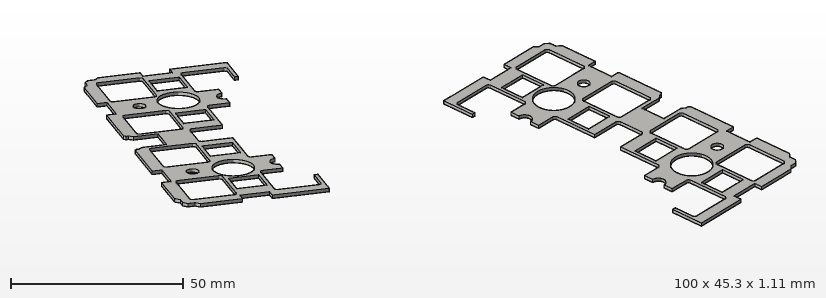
import cadquery as cq

length = 100.0
width = 45.25
thickness = 1.11
left = -length / 2
back = width / 2
front = -width / 2
rim = 1.2
corner_radius = 0.9

window_depth = 14.15
outer_column = (-46.35, -31.3)
inner_column = (-20.5, -5.65)
front_row_front = -18.45
front_row_back = front_row_front + window_depth
back_row_back = back - rim
back_row_front = back_row_back - window_depth

small_window_front = front_row_back + rim
small_window_back = back_row_front - rim
small_window_columns = ((-43.4, -35.4), (-17.7, -9.6))

arm_tip_x = -38.8
tab_back = 14.3
tab_notch_radius = 2.2
middle_gap_half_width = 5.0
middle_gap_front = -2.9

tab_center_x = (outer_column[1] + inner_column[0]) / 2
large_hole_diameter = 12.4
large_hole_center = (-26.75, 0.65)
small_hole_diameter = 3.7
small_hole_center = (tab_center_x, -11.45)

slot_length = 9.0
side_slot_bottom_x = -47.3
side_slot_center_y = 0.75
front_slot_left_x = outer_column[1]
front_slot_back = front_row_front - rim

front_gap_half_width = 4.2
front_gap_back = -12.6
front_gap_bevel_start = -20.0
front_gap_wide_half_width = 5.1
front_gap_bevel_end = -21.2
front_gap_lip = 0.6

corner_bevel = 1.2
corner_flat_x = left + corner_bevel
corner_side_start_y = -16.6
corner_flat_y = -21.25
corner_side_end_y = corner_flat_y + corner_bevel
corner_front_start_x = -45.4
corner_front_end_x = -44.1


def box(x_range, y_range):
    """Rectangular cutter through the whole plate."""
    x_min, x_max = x_range
    y_min, y_max = y_range
    block = cq.Workplane("XY").box(x_max - x_min, y_max - y_min, thickness, centered=False)
    return block.translate((x_min, y_min, 0))


def rounded_box(x_range, y_range):
    """Through cutter with all four vertical corners rounded."""
    return box(x_range, y_range).edges("|Z").fillet(corner_radius)


def disc(center, diameter):
    """Round cutter through the whole plate."""
    return cq.Workplane("XY").center(*center).circle(diameter / 2).extrude(thickness)


def prism(points):
    """Polygonal cutter through the whole plate."""
    return cq.Workplane("XY").polyline(points).close().extrude(thickness)


def corner_step():
    """Waste outside the stepped front-left corner."""
    return prism([
        (left, front),
        (left, corner_side_start_y),
        (corner_flat_x, corner_side_start_y - corner_bevel),
        (corner_flat_x, corner_side_end_y),
        (corner_flat_x + corner_bevel, corner_flat_y),
        (corner_front_start_x, corner_flat_y),
        (corner_front_end_x, front),
    ])


def front_gap_half():
    """Left half of the bevelled middle gap in the front edge."""
    return prism([
        (0, front),
        (0, front_gap_back),
        (-front_gap_half_width, front_gap_back),
        (-front_gap_half_width, front_gap_bevel_start),
        (-front_gap_wide_half_width, front_gap_bevel_end),
        (-front_gap_wide_half_width, front + front_gap_lip),
        (-front_gap_wide_half_width - front_gap_lip, front),
    ])


def half_cutters():
    """Cutters of the left half that are mirrored onto the right half."""
    front_row = (front_row_front, front_row_back)
    side_slot_front = side_slot_center_y - slot_length / 2
    return [
        rounded_box(outer_column, front_row),
        rounded_box(inner_column, front_row),
        rounded_box(outer_column, (back_row_front, back_row_back)),
        disc(large_hole_center, large_hole_diameter),
        disc(small_hole_center, small_hole_diameter),
        disc((tab_center_x, tab_back), 2 * tab_notch_radius),
        box((left, side_slot_bottom_x), (side_slot_front, side_slot_front + slot_length)),
        box((front_slot_left_x, front_slot_left_x + slot_length), (front, front_slot_back)),
        corner_step(),
        front_gap_half(),
    ]


def small_window_cutters():
    """Small windows of both halves; the right pair is the left pair shifted, not mirrored."""
    tab_spacing = -2 * tab_center_x
    cutters = []
    for shift in (0, tab_spacing):
        for x_min, x_max in small_window_columns:
            cutters.append(box((x_min + shift, x_max + shift), (small_window_front, small_window_back)))
    return cutters


def middle_cutters():
    """Cutters that span the mirror plane along the back edge."""
    beyond_back = back + 2 * corner_radius
    return [
        box((arm_tip_x, -arm_tip_x), (tab_back, back)),
        rounded_box((inner_column[0], -inner_column[0]), (back_row_front, beyond_back)),
        rounded_box((-middle_gap_half_width, middle_gap_half_width), (middle_gap_front, beyond_back)),
    ]


plate = box((left, -left), (front, back))
for cutter in half_cutters():
    plate = plate.cut(cutter).cut(cutter.mirror("YZ"))
for cutter in small_window_cutters() + middle_cutters():
    plate = plate.cut(cutter)

result = plate